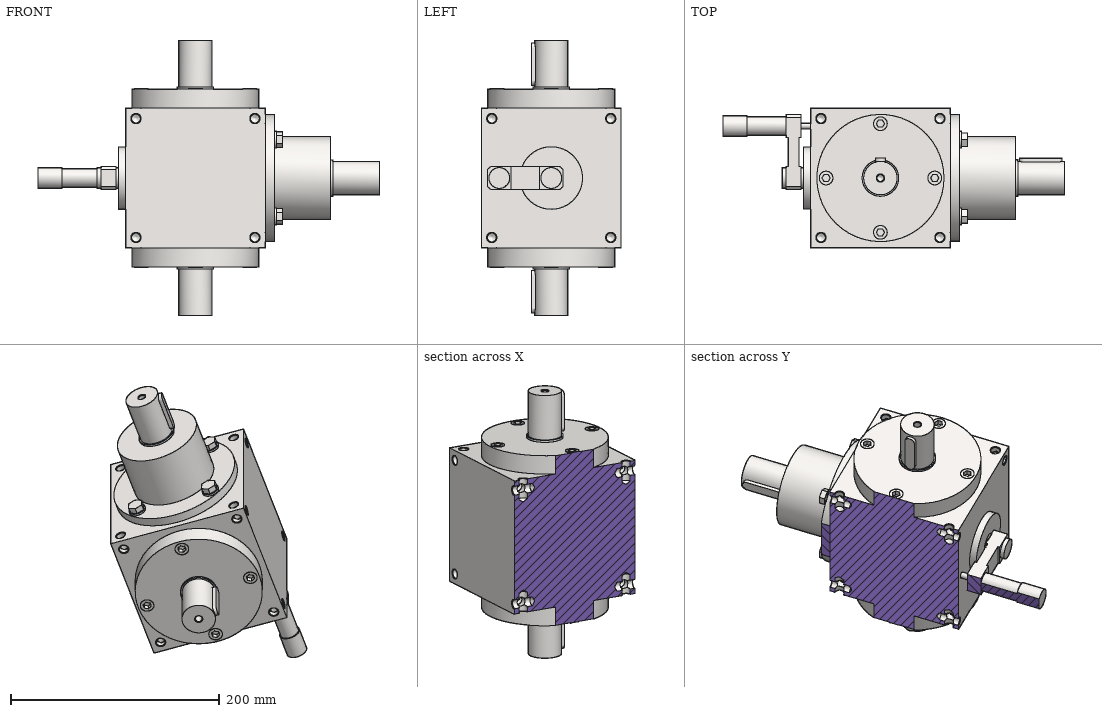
import cadquery as cq
import math

BLOCK_SIZE = 134.0
BLOCK_HALF = BLOCK_SIZE / 2
FLANGE_DIAMETER = 122.0
FLANGE_HEIGHT = 18.5
FLANGE_FACE = BLOCK_HALF + FLANGE_HEIGHT
DISC_DIAMETER = 60.0
DISC_THICKNESS = 7.0
DISC_FACE = -BLOCK_HALF - DISC_THICKNESS

CORNER_HOLE_OFFSET = 57.0
CORNER_HOLE_DIAMETER = 8.5
CORNER_HOLE_RIM_DIAMETER = 10.0
CORNER_HOLE_DEPTH = 20.0
DRILL_POINT_ANGLE = 118

BOLT_CIRCLE_RADIUS = 52.0
BOLT_COUNT = 4
HUB_BOLT_START_ANGLE = 45
CAP_HEAD_DIAMETER = 13.0
CAP_HEAD_RISE = 0.3
CAP_SOCKET_CORNERS = 8.0
CAP_SOCKET_DEPTH = 5.0
WASHER_DIAMETER = 16.0
WASHER_THICKNESS = 2.0
HEX_HEAD_FLATS = 13.0
HEX_HEAD_HEIGHT = 6.0

HUB_DIAMETER = 80.0
HUB_FLANGE_THICKNESS = 9.0
HUB_FLANGE_FACE = BLOCK_HALF + HUB_FLANGE_THICKNESS
HUB_FACE = 130.0

SHAFT_DIAMETER = 32.0
COLLAR_DIAMETER = 35.0
COLLAR_RISE = 2.0
CROSS_SHAFT_LENGTH = 264.0
CROSS_SHAFT_END = CROSS_SHAFT_LENGTH / 2
DRIVE_SHAFT_END = 176.8
CENTRE_HOLE_DIAMETER = 6.5
CENTRE_HOLE_RIM_DIAMETER = 8.0
CENTRE_HOLE_DEPTH = 16.0
KEY_LENGTH = 41.0
KEY_WIDTH = 10.0
KEY_BOTTOM = 11.0
KEY_TOP = 19.0
KEY_END_GAP = 2.3

LEVER_WIDTH = 22.3
LEVER_INNER_FACE = -76.0
LEVER_OUTER_FACE = -90.5
WEB_INNER_FACE = -78.0
WEB_OUTER_FACE = -88.5
LEVER_CORNER_CHAMFER = 3.0
PIVOT_DIAMETER = 20.0
PIVOT_END = -94.5
HANDLE_OFFSET = 50.0
HANDLE_DIAMETER = 18.0
GRIP_DIAMETER = 20.0
GRIP_LENGTH = 23.0
OVERALL_LENGTH = 328.0
HANDLE_END = DRIVE_SHAFT_END - OVERALL_LENGTH
PIN_DIAMETER = 6.0


def cylinder_z(diameter, start, end):
    """Cylinder on the Z axis between two heights."""
    return cq.Workplane("XY").workplane(offset=start).circle(diameter / 2).extrude(end - start)


def cylinder_x(diameter, start, end, y=0):
    """Cylinder along X between two stations, at the given y and at mid height."""
    return cq.Workplane("YZ", origin=(start, y, 0)).circle(diameter / 2).extrude(end - start)


def block_x(start, end, y_low, y_high, height):
    """Box given by its X and Y limits, centred on mid height."""
    return (
        cq.Workplane("XY", origin=(0, 0, -height / 2))
        .moveTo(start, y_low)
        .lineTo(end, y_low)
        .lineTo(end, y_high)
        .lineTo(start, y_high)
        .close()
        .extrude(height)
    )


def drilled_hole(diameter, rim_diameter, depth):
    """Cutter opening at z = 0: countersunk rim, straight hole going down, conical drill point."""
    radius = diameter / 2
    rim_radius = rim_diameter / 2
    point_depth = radius / math.tan(math.radians(DRILL_POINT_ANGLE / 2))
    return (
        cq.Workplane("XZ")
        .lineTo(rim_radius, 0)
        .lineTo(radius, radius - rim_radius)
        .lineTo(radius, -depth)
        .lineTo(0, -depth - point_depth)
        .close()
        .revolve(360, (0, 0), (0, 1))
    )


def turned_to(shape, direction):
    """Turn a shape built about +Z so that it points along the named direction."""
    axis, angle = {
        "+Z": ((1, 0, 0), 0),
        "-Z": ((1, 0, 0), 180),
        "+Y": ((1, 0, 0), -90),
        "-Y": ((1, 0, 0), 90),
        "+X": ((0, 1, 0), 90),
        "-X": ((0, 1, 0), -90),
    }[direction]
    return shape.rotate((0, 0, 0), axis, angle)


def corner_hole_cutters():
    """Four drilled holes at the corners of the upper block face."""
    cutter = drilled_hole(CORNER_HOLE_DIAMETER, CORNER_HOLE_RIM_DIAMETER, CORNER_HOLE_DEPTH)
    cutters = cq.Workplane("XY")
    for x in (-CORNER_HOLE_OFFSET, CORNER_HOLE_OFFSET):
        for y in (-CORNER_HOLE_OFFSET, CORNER_HOLE_OFFSET):
            cutters = cutters.add(cutter.translate((x, y, BLOCK_HALF)))
    return cutters


def flange():
    """Upper flange with four slightly proud socket screw heads."""
    body = cylinder_z(FLANGE_DIAMETER, BLOCK_HALF, FLANGE_FACE)
    head_top = FLANGE_FACE + CAP_HEAD_RISE
    heads = (
        cq.Workplane("XY", origin=(0, 0, FLANGE_FACE))
        .polarArray(BOLT_CIRCLE_RADIUS, 0, 360, BOLT_COUNT, rotate=False)
        .circle(CAP_HEAD_DIAMETER / 2)
        .extrude(CAP_HEAD_RISE)
    )
    sockets = (
        cq.Workplane("XY", origin=(0, 0, head_top))
        .polarArray(BOLT_CIRCLE_RADIUS, 0, 360, BOLT_COUNT, rotate=False)
        .polygon(6, CAP_SOCKET_CORNERS)
        .extrude(-CAP_SOCKET_DEPTH)
    )
    return body.union(heads).cut(sockets)


def make_housing():
    body = cq.Workplane("XY").box(BLOCK_SIZE, BLOCK_SIZE, BLOCK_SIZE)
    upper_flange = flange()
    body = body.union(upper_flange).union(upper_flange.mirror("XY"))
    body = body.union(cylinder_x(DISC_DIAMETER, DISC_FACE, -BLOCK_HALF))
    holes = corner_hole_cutters()
    for direction in ("+Z", "-Z", "+Y", "-Y", "+X", "-X"):
        for cutter in holes.vals():
            body = body.cut(turned_to(cq.Workplane(cutter), direction))
    return body.cut(cylinder_z(COLLAR_DIAMETER, -FLANGE_FACE, FLANGE_FACE))


def make_hub():
    body = cylinder_x(FLANGE_DIAMETER, BLOCK_HALF, HUB_FLANGE_FACE)
    body = body.union(cylinder_x(HUB_DIAMETER, HUB_FLANGE_FACE, HUB_FACE))
    washers = (
        cq.Workplane("YZ", origin=(HUB_FLANGE_FACE, 0, 0))
        .polarArray(BOLT_CIRCLE_RADIUS, HUB_BOLT_START_ANGLE, 360, BOLT_COUNT, rotate=False)
        .circle(WASHER_DIAMETER / 2)
        .extrude(WASHER_THICKNESS)
    )
    hex_corners = HEX_HEAD_FLATS / math.cos(math.radians(30))
    head_plane = cq.Plane(origin=(HUB_FLANGE_FACE + WASHER_THICKNESS, 0, 0), xDir=(0, 0, 1), normal=(1, 0, 0))
    heads = (
        cq.Workplane(head_plane)
        .polarArray(BOLT_CIRCLE_RADIUS, HUB_BOLT_START_ANGLE, 360, BOLT_COUNT, rotate=False)
        .polygon(6, hex_corners)
        .extrude(HEX_HEAD_HEIGHT)
    )
    body = body.union(washers).union(heads)
    return body.cut(cylinder_x(COLLAR_DIAMETER, BLOCK_HALF, HUB_FACE))


def make_upright_key(shaft_end):
    """Round-ended key on the +Y side of a shaft that points up to shaft_end."""
    middle = shaft_end - KEY_END_GAP - KEY_LENGTH / 2
    return (
        cq.Workplane("XZ", origin=(0, KEY_BOTTOM, middle))
        .slot2D(KEY_LENGTH, KEY_WIDTH, 90)
        .extrude(KEY_BOTTOM - KEY_TOP)
    )


def centre_hole(shaft_end):
    cutter = drilled_hole(CENTRE_HOLE_DIAMETER, CENTRE_HOLE_RIM_DIAMETER, CENTRE_HOLE_DEPTH)
    return cutter.translate((0, 0, shaft_end))


def make_cross_shaft():
    """Shaft through the housing along Z, with both ends alike."""
    collar_end = FLANGE_FACE + COLLAR_RISE
    body = cylinder_z(COLLAR_DIAMETER, -collar_end, collar_end)
    body = body.union(cylinder_z(SHAFT_DIAMETER, -CROSS_SHAFT_END, CROSS_SHAFT_END))
    end_cuts = make_upright_key(CROSS_SHAFT_END).union(centre_hole(CROSS_SHAFT_END))
    return body.cut(end_cuts).cut(end_cuts.mirror("XY"))


def make_drive_shaft():
    """Shaft through the hub along X, built upright and then laid over."""
    body = cylinder_z(COLLAR_DIAMETER, BLOCK_HALF, HUB_FACE + COLLAR_RISE)
    body = body.union(cylinder_z(SHAFT_DIAMETER, BLOCK_HALF, DRIVE_SHAFT_END))
    body = body.cut(make_upright_key(DRIVE_SHAFT_END)).cut(centre_hole(DRIVE_SHAFT_END))
    return turned_to(body, "+X")


def make_keys():
    upper_key = make_upright_key(CROSS_SHAFT_END)
    lower_key = upper_key.mirror("XY")
    drive_key = turned_to(make_upright_key(DRIVE_SHAFT_END), "+X")
    return [upper_key, lower_key, drive_key]


def make_lever():
    half_width = LEVER_WIDTH / 2
    y_low = -half_width
    y_high = HANDLE_OFFSET + half_width
    body = block_x(LEVER_OUTER_FACE, LEVER_INNER_FACE, y_low, y_high, LEVER_WIDTH)
    body = body.edges("|X").chamfer(LEVER_CORNER_CHAMFER)
    for outside, inside in ((LEVER_OUTER_FACE, WEB_OUTER_FACE), (WEB_INNER_FACE, LEVER_INNER_FACE)):
        body = body.cut(block_x(outside, inside, half_width, HANDLE_OFFSET - half_width, LEVER_WIDTH))
    body = body.union(cylinder_x(PIVOT_DIAMETER, PIVOT_END, DISC_FACE))
    return body.cut(cylinder_x(PIN_DIAMETER, LEVER_OUTER_FACE, LEVER_INNER_FACE, HANDLE_OFFSET))


def make_handle():
    """Handle with a thicker grip and an index pin that reaches the housing."""
    grip_start = HANDLE_END + GRIP_LENGTH
    body = cylinder_x(GRIP_DIAMETER, HANDLE_END, grip_start, HANDLE_OFFSET)
    body = body.union(cylinder_x(HANDLE_DIAMETER, grip_start, LEVER_OUTER_FACE, HANDLE_OFFSET))
    return body.union(cylinder_x(PIN_DIAMETER, LEVER_OUTER_FACE, -BLOCK_HALF, HANDLE_OFFSET))


housing = make_housing()
hub = make_hub()
cross_shaft = make_cross_shaft()
drive_shaft = make_drive_shaft()
keys = make_keys()
lever = make_lever()
handle = make_handle()

result = cq.Compound.makeCompound(
    [
        housing.val(),
        hub.val(),
        cross_shaft.val(),
        drive_shaft.val(),
        *[key.val() for key in keys],
        lever.val(),
        handle.val(),
    ]
)